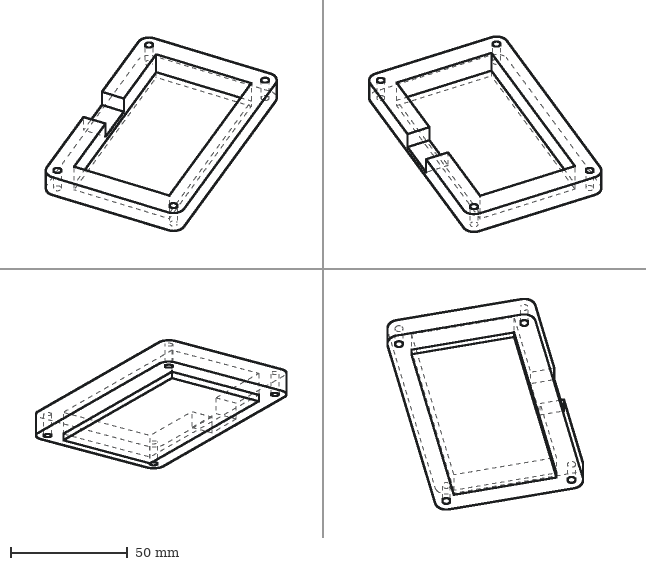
import cadquery as cq

frame_width = 64.9
frame_length = 102.0
frame_height = 10.0
corner_radius = 5.0

hole_diameter = 3.4
hole_inset = corner_radius

window_width = 45.0
window_length = 82.4
window_left_margin = 10.4
window_front_margin = 10.3
window_center_x = -frame_width / 2 + window_left_margin + window_width / 2
window_center_y = -frame_length / 2 + window_front_margin + window_length / 2

notch_width = 18.4
notch_depth = 7.3
notch_center_y = 0.1

plate_thickness = 3.0


def window_block(height):
    """Block with the outline of the window, standing on the frame's underside."""
    return (
        cq.Workplane("XY")
        .center(window_center_x, window_center_y)
        .rect(window_width, window_length)
        .extrude(height)
    )


def make_frame():
    """Rounded frame with a window, four screw holes and a side notch."""
    body = (
        cq.Workplane("XY")
        .rect(frame_width, frame_length)
        .extrude(frame_height)
        .edges("|Z")
        .fillet(corner_radius)
    )
    holes = (
        cq.Workplane("XY")
        .rect(frame_width - 2 * hole_inset, frame_length - 2 * hole_inset, forConstruction=True)
        .vertices()
        .circle(hole_diameter / 2)
        .extrude(frame_height)
    )
    notch = (
        cq.Workplane("XY", origin=(0, 0, frame_height - notch_depth))
        .center(-frame_width / 2 + window_left_margin / 2, notch_center_y)
        .rect(window_left_margin, notch_width)
        .extrude(notch_depth)
    )
    return body.cut(window_block(frame_height)).cut(holes).cut(notch)


def make_floor_plate():
    """Flat plate, the same outline as the window, touching the frame's underside."""
    return window_block(-plate_thickness)


frame = make_frame()
floor_plate = make_floor_plate()

result = cq.Compound.makeCompound([frame.val(), floor_plate.val()])